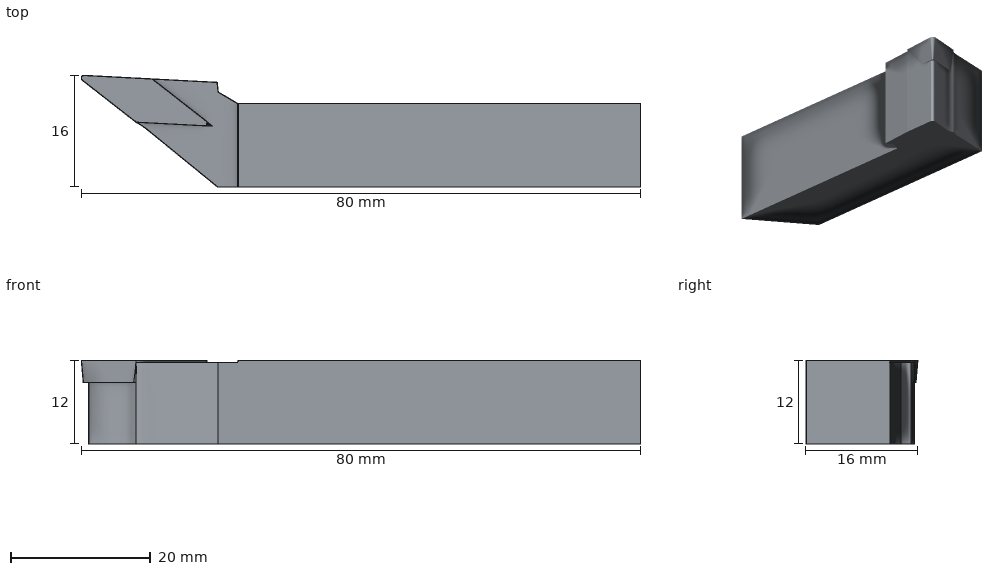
import cadquery as cq
import math

LENGTH = 80.0
SHANK_SIZE = 12.0

INSERT_THICKNESS = 3.2
INSERT_WIDTH = 6.3
NOSE_ANGLE = 35.0
NOSE_RADIUS = 0.4
CLEARANCE_ANGLE = 5.0
EDGE_TILT = 3.0
TIP_Y = 16.0
SIDE = INSERT_WIDTH / math.sin(math.radians(NOSE_ANGLE))

HEAD_DROP = 0.28
HEAD_TOP = SHANK_SIZE - HEAD_DROP
RAMP_START = 22.3
RAMP_END = 22.5
FRONT_CORNER_X = 19.5
HEEL_X = 19.45
HEEL_BOTTOM_X = 19.6
HEEL_BOTTOM_Y = 13.6

SUPPORT_NOSE = [(1.3, 15.5), (1.05, 15.2), (1.2, 15.0)]
SUPPORT_END = (6.7, 10.7)
SUPPORT_MIDDLE = (7.4, 10.1)
FLANK_START = (9.5, 8.2)


def step(point, distance, fall_angle):
    """Move in +X from a point along a line falling toward -Y."""
    angle = math.radians(fall_angle)
    return (point[0] + distance * math.cos(angle), point[1] - distance * math.sin(angle))


nose_center = (NOSE_RADIUS, TIP_Y - NOSE_RADIUS)
tip_offset = NOSE_RADIUS / math.sin(math.radians(NOSE_ANGLE / 2))
sharp_tip = step(nose_center, -tip_offset, EDGE_TILT + NOSE_ANGLE / 2)
back_corner = step(sharp_tip, SIDE, EDGE_TILT)
front_corner = step(sharp_tip, SIDE, EDGE_TILT + NOSE_ANGLE)
inner_tip = step(front_corner, SIDE, EDGE_TILT)


def make_rhombus(nose_radius=0.0):
    """Tapered rhombus, widest at its top face, with optionally rounded noses."""
    corners = [sharp_tip, front_corner, inner_tip, back_corner]
    outline = cq.Sketch().polygon(corners + [sharp_tip])
    if nose_radius:
        outline = outline.vertices("<X or >X").fillet(nose_radius)
    return (
        cq.Workplane("XY", origin=(0, 0, SHANK_SIZE))
        .placeSketch(outline.reset())
        .extrude(-INSERT_THICKNESS, taper=CLEARANCE_ANGLE)
    )


def make_head():
    """Angled head, with the narrower support under the insert at its end."""
    heel_y = back_corner[1] - (HEEL_X - back_corner[0]) * math.tan(math.radians(EDGE_TILT))
    nose_top, nose_middle, nose_bottom = SUPPORT_NOSE
    return (
        cq.Workplane("XY")
        .moveTo(FRONT_CORNER_X, 0)
        .lineTo(*FLANK_START)
        .tangentArcPoint(front_corner, relative=False)
        .threePointArc(SUPPORT_MIDDLE, SUPPORT_END)
        .lineTo(*nose_bottom)
        .threePointArc(nose_middle, nose_top)
        .lineTo(*back_corner)
        .lineTo(HEEL_X, heel_y)
        .lineTo(HEEL_BOTTOM_X, HEEL_BOTTOM_Y)
        .lineTo(RAMP_START, SHANK_SIZE)
        .lineTo(RAMP_START, 0)
        .close()
        .extrude(HEAD_TOP)
    )


def make_shank():
    """Square bar with a short ramp down to the head surface."""
    return (
        cq.Workplane("XZ")
        .moveTo(RAMP_START, 0)
        .lineTo(LENGTH, 0)
        .lineTo(LENGTH, SHANK_SIZE)
        .lineTo(RAMP_END, SHANK_SIZE)
        .lineTo(RAMP_START, HEAD_TOP)
        .close()
        .extrude(-SHANK_SIZE)
    )


insert = make_rhombus(NOSE_RADIUS)

holder = make_head().union(make_shank()).cut(make_rhombus())

result = cq.Compound.makeCompound([holder.val(), insert.val()])